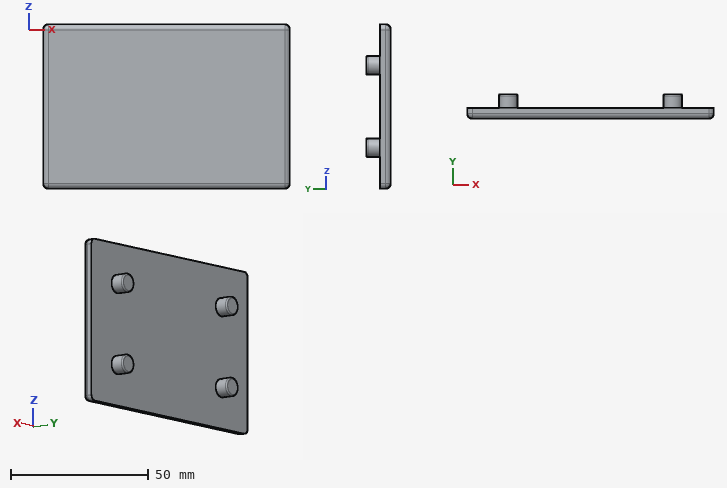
import cadquery as cq

plate_length = 90.0
plate_height = 60.0
overall_depth = 9.0
plate_thickness = 4.0
edge_radius = 2.0

pin_diameter = 6.8
pin_length = overall_depth - plate_thickness
pin_spacing_x = 2 * plate_length / 3
pin_spacing_z = plate_height / 2
pin_end_radius = 0.5
pin_embed = 0.9


def make_plate():
    """Plate with rounded corners and a rounded front rim."""
    plate = cq.Workplane("XY").box(plate_length, plate_thickness, plate_height, centered=(True, False, True))
    return plate.edges("|Y or <Y").fillet(edge_radius)


def make_pins():
    """Four pins with rounded free ends, on a rectangular grid."""
    pins = (
        cq.Workplane("XZ", origin=(0, plate_thickness - pin_embed, 0))
        .rarray(pin_spacing_x, pin_spacing_z, 2, 2)
        .circle(pin_diameter / 2)
        .extrude(-(pin_length + pin_embed))
    )
    return pins.faces(">Y").edges().fillet(pin_end_radius)


result = make_plate().union(make_pins())